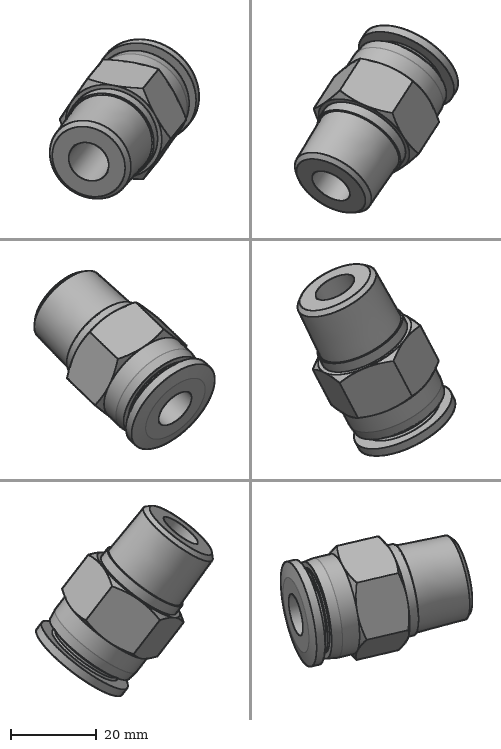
import cadquery as cq
import math

total_length = 40.5
bore_radius = 5.0

thread_tip_radius = 10.12
thread_root_radius = 10.55
thread_chamfer = 1.05
thread_end = 14.0

collar_radius = 10.98

hex_start = 16.52
hex_end = 28.95
hex_across_corners = 27.7
hex_flat_radius = hex_across_corners / 2 * math.cos(math.radians(30))
hex_chamfer_angle = 30.0

body_radius = hex_flat_radius
body_taper_start = 33.25
body_end = 35.72
body_end_radius = 11.62
body_lip_radius = 10.2
body_lip_height = 0.5

neck_radius = 9.0
neck_flare_radius = 9.48
neck_flare_length = 0.53
flange_radius = 12.6
flange_thickness = 2.8
flange_taper_length = 0.7
flange_face_radius = 9.0
flange_start = total_length - flange_thickness


def revolve_about_y(points):
    """Revolve a closed outline of (radius, Y) points about the Y axis."""
    return cq.Workplane("XY").polyline(points).close().revolve(360, (0, 0, 0), (0, 1, 0))


def make_turned_body():
    return revolve_about_y([
        (0, 0),
        (thread_tip_radius - thread_chamfer, 0),
        (thread_tip_radius, thread_chamfer),
        (thread_root_radius, thread_end),
        (collar_radius, thread_end),
        (collar_radius, hex_start),
        (body_radius, hex_start),
        (body_radius, body_taper_start),
        (body_end_radius, body_end),
        (body_lip_radius, body_end),
        (body_lip_radius, body_end + body_lip_height),
        (neck_radius, body_end + body_lip_height),
        (neck_radius, flange_start - neck_flare_length),
        (neck_flare_radius, flange_start),
        (flange_radius, flange_start),
        (flange_radius, total_length - flange_taper_length),
        (flange_face_radius, total_length),
        (0, total_length),
    ])


def make_hexagon():
    """Hexagonal prism whose corners are cut back by a cone at each end."""
    prism = (
        cq.Workplane("XZ", origin=(0, hex_start, 0))
        .polygon(6, hex_across_corners)
        .extrude(hex_start - hex_end)
    )
    corner_radius = hex_across_corners / 2
    chamfer_length = (corner_radius - hex_flat_radius) * math.tan(math.radians(hex_chamfer_angle))
    chamfer_envelope = revolve_about_y([
        (0, hex_start),
        (hex_flat_radius, hex_start),
        (corner_radius, hex_start + chamfer_length),
        (corner_radius, hex_end - chamfer_length),
        (hex_flat_radius, hex_end),
        (0, hex_end),
    ])
    return prism.intersect(chamfer_envelope)


def make_bore():
    return cq.Workplane("XZ").circle(bore_radius).extrude(-total_length)


result = make_turned_body().union(make_hexagon()).cut(make_bore())